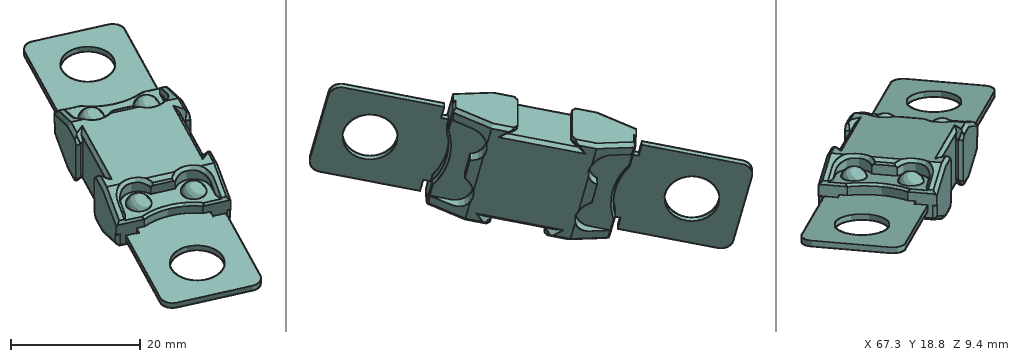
import cadquery as cq
import math

strip_length = 67.3
strip_width = 16.4
strip_thickness = 1.0
strip_corner_radius = 2.0
bolt_hole_diameter = 8.5
bolt_hole_x = 25.6
neck_length = 31.35
neck_width = 12.1

housing_length = 29.1
housing_width = 18.8
housing_height = 9.4
flat_length = 16.7
end_height = 4.7
side_chamfer = 0.6

scoop_half_chord = 4.8
scoop_depth = 1.15
end_chamfer = 0.4
bottom_end_chamfer = 0.3
corner_chamfer_x = 0.4
corner_chamfer_y = 0.6

waist_width = 16.1
waist_chamfer = 0.6
notch_tip_x = 4.3
notch_tip_y = 8.6
notch_bevel = 1.0
notch_bevel_height = 1.35

rivet_x = 11.05
rivet_y = 4.5
pocket_radius = 2.9
pocket_floor_z = 2.35
pocket_rim_chamfer = 0.55
web_chamfer = 0.3
top_web_x = 9.55
bottom_web_x = 10.1
rivet_head_radius = 2.0
rivet_head_height = 1.5

half_length = housing_length / 2
half_width = housing_width / 2
half_height = housing_height / 2
half_flat = flat_length / 2
taper_run = half_length - half_flat
taper_drop = half_height - end_height / 2
sides = (-1, 1)


def block(x_range, y_range, z_range):
    """Box between two limits on each axis."""
    (x0, x1), (y0, y1), (z0, z1) = x_range, y_range, z_range
    return cq.Workplane("XY").box(x1 - x0, y1 - y0, z1 - z0, centered=False).translate((x0, y0, z0))


def both_ends(end_solid):
    """A solid at the +X end together with its mirror image at the -X end."""
    return end_solid.union(end_solid.mirror("YZ"))


def make_housing():
    """Bar with tapered ends and chamfered long edges."""
    half_end = end_height / 2
    outline = [
        (-half_length, -half_end), (-half_flat, -half_height),
        (half_flat, -half_height), (half_length, -half_end),
        (half_length, half_end), (half_flat, half_height),
        (-half_flat, half_height), (-half_length, half_end),
    ]
    bar = cq.Workplane("XZ").polyline(outline).close().extrude(half_width, both=True)
    return bar.faces("<Y or >Y").edges("not |Z").chamfer(side_chamfer)


def make_scoop():
    """Cylinder that hollows the +X end face, flared where it meets the pocket floors."""
    radius = (scoop_half_chord**2 + scoop_depth**2) / (2 * scoop_depth)
    center_x = half_length - scoop_depth + radius
    flare_start = pocket_floor_z - end_chamfer
    flare_height = half_height - flare_start
    scoop = cq.Workplane("XY").circle(radius).extrude(half_height, both=True)
    flare = cq.Workplane("XY").workplane(offset=flare_start).circle(radius).extrude(flare_height, taper=-45)
    scoop = scoop.union(flare).union(flare.mirror("XY"))
    return scoop.translate((center_x, 0, 0))


def make_end_wedge(size):
    """Wedge that chamfers the upper edge of the +X end face by an equal leg on both faces."""
    taper_angle = math.atan2(taper_drop, taper_run)
    outline = [
        (half_length, end_height / 2 - size),
        (half_length - size * math.cos(taper_angle), end_height / 2 + size * math.sin(taper_angle)),
        (half_length, half_height),
        (housing_length, half_height),
        (housing_length, end_height / 2 - size),
    ]
    return cq.Workplane("XZ").polyline(outline).close().extrude(half_width, both=True)


def make_lower_corners():
    """Prisms that bevel the lower half of the two upright corners at the +X end."""
    outline = [
        (half_length - corner_chamfer_x, half_width),
        (half_length, half_width),
        (half_length, half_width - corner_chamfer_y),
    ]
    corner = cq.Workplane("XY").polyline(outline).close().extrude(-half_height)
    return corner.union(corner.mirror("XZ"))


def make_notch_section(bevel):
    """Corner points of the +Y dovetail notch, widened by bevel."""
    floor_y = waist_width / 2 - 2 * waist_chamfer
    tip_x = notch_tip_x + bevel
    tip_y = notch_tip_y + bevel * (math.sqrt(2) - 1)
    floor_x = tip_x + tip_y - floor_y
    outer_y = housing_width
    return [
        (-tip_x, outer_y), (-tip_x, tip_y), (-floor_x, floor_y),
        (floor_x, floor_y), (tip_x, tip_y), (tip_x, outer_y),
    ]


def make_notches():
    """Dovetail notches on both sides, bevelled at top and bottom, outside the waist."""
    bevel_start = half_height - notch_bevel_height
    plain = cq.Workplane("XY").polyline(make_notch_section(0)).close().extrude(half_height, both=True)
    bevel = (
        cq.Workplane("XY").workplane(offset=bevel_start)
        .polyline(make_notch_section(0)).close()
        .workplane(offset=notch_bevel_height)
        .polyline(make_notch_section(notch_bevel)).close()
        .loft(ruled=True)
    )
    notch = plain.union(bevel).union(bevel.mirror("XY"))
    waist = cq.Workplane("XY").box(housing_length, waist_width, housing_height)
    waist = waist.edges("|X").chamfer(waist_chamfer)
    notch = notch.cut(waist)
    return notch.union(notch.mirror("XZ"))


def make_pocket():
    """Upright prism around the two rivets at the +X end, open towards the end face."""
    z_range = (-housing_height, housing_height)
    side_y = rivet_y + pocket_radius
    rivets = [(rivet_x, side * rivet_y) for side in sides]
    round_ends = cq.Workplane("XY").pushPoints(rivets).circle(pocket_radius).extrude(housing_height, both=True)
    return block((rivet_x, 2 * housing_length), (-side_y, side_y), z_range).union(round_ends)


def make_web_recess(web_x):
    """Upright prism that opens the pocket between its round ends, back to web_x."""
    return block((web_x, rivet_x), (-rivet_y, rivet_y), (-housing_height, housing_height))


def flare_rim(prism, size):
    """Widen a prism with a chamfer along its rim on the upper surface of the +X half."""
    far_x = half_flat + 2 * taper_run
    low_z = -housing_height
    outline = [
        (0, low_z), (0, half_height), (half_flat, half_height),
        (far_x, half_height - 2 * taper_drop), (far_x, low_z),
    ]
    blank = cq.Workplane("XZ").polyline(outline).close().extrude(housing_width, both=True)
    rim_box = cq.selectors.BoxSelector(
        (half_flat - pocket_radius, -half_width, -half_height / 2),
        (far_x - size, half_width, housing_height),
    )
    fold_line = cq.selectors.NearestToPointSelector((half_flat, 0, half_height))
    rim = rim_box - fold_line
    return blank.cut(blank.cut(prism).edges("not |Z").edges(rim).chamfer(size))


def make_rivet_heads():
    """Domed rivet heads standing on the two upper pocket floors."""
    sphere_radius = (rivet_head_radius**2 + rivet_head_height**2) / (2 * rivet_head_height)
    center_z = pocket_floor_z + rivet_head_height - sphere_radius
    above_floor = block((-half_length, half_length), (-half_width, half_width), (0, half_height))
    heads = cq.Workplane("XY")
    for x in (-rivet_x, rivet_x):
        for y in (-rivet_y, rivet_y):
            heads = heads.union(cq.Workplane("XY").sphere(sphere_radius).translate((x, y, center_z)))
    return heads.intersect(above_floor)


def make_strip():
    """Flat strip with a bolt hole at each end and a narrower neck inside the housing."""
    strip = cq.Workplane("XY").box(strip_length, strip_width, strip_thickness)
    strip = strip.edges("|Z").fillet(strip_corner_radius)
    bolt_holes = [(-bolt_hole_x, 0), (bolt_hole_x, 0)]
    strip = strip.faces(">Z").workplane().pushPoints(bolt_holes).hole(bolt_hole_diameter)
    gap = cq.Workplane("XY").box(neck_length, strip_width, strip_thickness)
    for side in sides:
        strip = strip.cut(gap.translate((0, side * (neck_width + strip_width) / 2, 0)))
    return strip


above_pocket_floor = block(
    (0, housing_length), (-half_width, half_width), (pocket_floor_z, housing_height)
)
top_pocket = flare_rim(make_pocket(), pocket_rim_chamfer)
top_pocket = top_pocket.union(flare_rim(make_web_recess(top_web_x), web_chamfer))
top_pocket = top_pocket.intersect(above_pocket_floor)
bottom_pocket = make_pocket().union(make_web_recess(bottom_web_x))
bottom_pocket = bottom_pocket.intersect(above_pocket_floor).mirror("XY")

result = make_housing().cut(make_notches())
for end_cut in (
    make_lower_corners(),
    make_end_wedge(end_chamfer),
    make_end_wedge(bottom_end_chamfer).mirror("XY"),
    top_pocket,
    bottom_pocket,
    make_scoop(),
):
    result = result.cut(both_ends(end_cut))
result = result.union(make_rivet_heads()).union(make_strip())